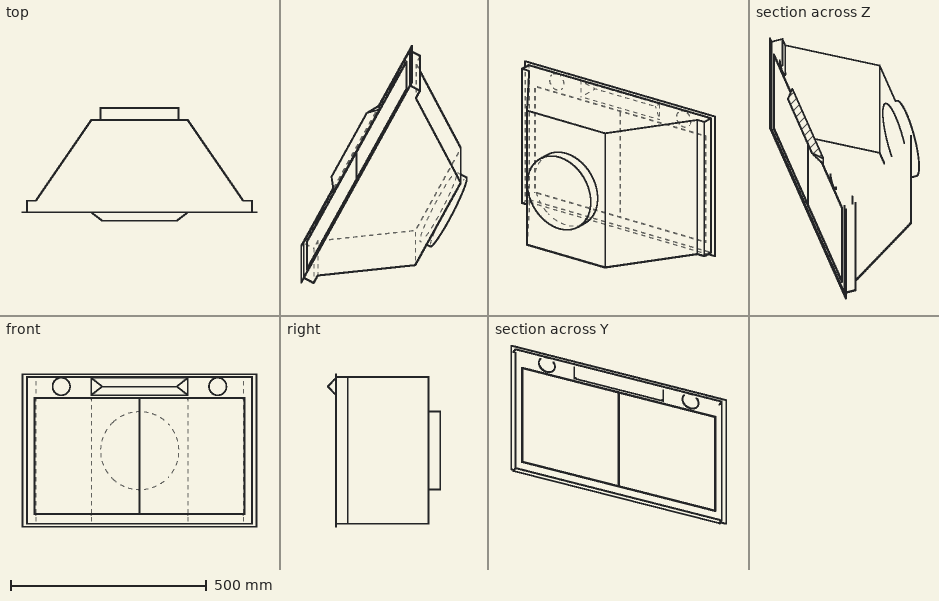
import cadquery as cq

FLANGE_WIDTH = 598.0
FLANGE_HEIGHT = 390.0
SHEET_THICKNESS = 1.0

TOTAL_DEPTH = 288.0
BODY_WIDTH = 574.5
BODY_HEIGHT = 375.5
RIM_DEPTH = 30.5
TAPER_FRONT_WIDTH = 530.0
TAPER_BACK_WIDTH = 246.5
DUCT_DIAMETER = 200.0
DUCT_LENGTH = 30.0

HANDLE_LENGTH = 246.5
HANDLE_HEIGHT = 43.5
HANDLE_RIDGE_LENGTH = 190.0
HANDLE_DEPTH = 21.5

LAMP_DIAMETER = 45.0
LAMP_OFFSET = 200.0
LAMP_DROP = 31.5

FILTER_OPENING_WIDTH = 538.0
FILTER_OPENING_HEIGHT = 297.0
FILTER_BOTTOM_MARGIN = 31.5
FILTER_GAP = 1.0

FILTER_WIDTH = (FILTER_OPENING_WIDTH - 3 * FILTER_GAP) / 2
FILTER_HEIGHT = FILTER_OPENING_HEIGHT - 2 * FILTER_GAP
FILTER_OFFSET = (FILTER_WIDTH + FILTER_GAP) / 2
BODY_BACK = TOTAL_DEPTH - HANDLE_DEPTH - DUCT_LENGTH
LAMP_Z = FLANGE_HEIGHT / 2 - LAMP_DROP
FILTER_Z = -FLANGE_HEIGHT / 2 + FILTER_BOTTOM_MARGIN + FILTER_OPENING_HEIGHT / 2


def make_block(width, height, front, back, x=0.0, z=0.0):
    """Box between two Y positions, centred on x and z."""
    depth = back - front
    return cq.Workplane("XY").box(width, depth, height).translate((x, front + depth / 2, z))


def make_filter(x):
    return make_block(FILTER_WIDTH, FILTER_HEIGHT, 0, SHEET_THICKNESS, x, FILTER_Z)


def make_lamp(x):
    lamp = cq.Workplane("XZ").circle(LAMP_DIAMETER / 2).extrude(-SHEET_THICKNESS)
    return lamp.translate((x, 0, LAMP_Z))


def make_tapered_body():
    """Closed sheet shell: a rim that narrows toward the back, constant over its height."""
    right_side = [
        (BODY_WIDTH / 2, 0),
        (BODY_WIDTH / 2, RIM_DEPTH),
        (TAPER_FRONT_WIDTH / 2, RIM_DEPTH),
        (TAPER_BACK_WIDTH / 2, BODY_BACK),
    ]
    left_side = [(-x, y) for x, y in reversed(right_side)]
    outline = cq.Workplane("XY").polyline(right_side + left_side).close()
    outer = outline.extrude(BODY_HEIGHT / 2, both=True)
    cavity = (
        cq.Workplane("XY")
        .polyline(right_side + left_side)
        .close()
        .offset2D(-SHEET_THICKNESS, "intersection")
        .extrude(BODY_HEIGHT / 2 - SHEET_THICKNESS, both=True)
    )
    return outer.cut(cavity)


def make_handle():
    """Wedge with a ridge along X and both ends cut to slopes."""
    half_height = HANDLE_HEIGHT / 2
    wedge = (
        cq.Workplane("YZ")
        .polyline([(0, -half_height), (-HANDLE_DEPTH, 0), (0, half_height)])
        .close()
        .extrude(HANDLE_LENGTH / 2, both=True)
    )
    end_slopes = (
        cq.Workplane("XY")
        .polyline([
            (-HANDLE_LENGTH / 2, 0),
            (-HANDLE_RIDGE_LENGTH / 2, -HANDLE_DEPTH),
            (HANDLE_RIDGE_LENGTH / 2, -HANDLE_DEPTH),
            (HANDLE_LENGTH / 2, 0),
        ])
        .close()
        .extrude(half_height, both=True)
    )
    return wedge.intersect(end_slopes).translate((0, 0, LAMP_Z))


def make_filter_opening():
    return make_block(FILTER_OPENING_WIDTH, FILTER_OPENING_HEIGHT, 0, SHEET_THICKNESS, z=FILTER_Z)


def make_housing(lamps):
    """Flange, body, duct and handle, with openings for the filters and lamps."""
    housing = make_block(FLANGE_WIDTH, FLANGE_HEIGHT, 0, SHEET_THICKNESS)
    housing = housing.union(make_tapered_body())
    duct = cq.Workplane("XZ", origin=(0, BODY_BACK, 0)).circle(DUCT_DIAMETER / 2).extrude(-DUCT_LENGTH)
    housing = housing.union(duct).union(make_handle())
    housing = housing.cut(make_filter_opening())
    for lamp in lamps:
        housing = housing.cut(lamp)
    return housing


filters = [make_filter(side * FILTER_OFFSET) for side in (-1, 1)]
lamps = [make_lamp(side * LAMP_OFFSET) for side in (-1, 1)]
housing = make_housing(lamps)

result = cq.Compound.makeCompound([housing.val(), *[body.val() for body in filters + lamps]])